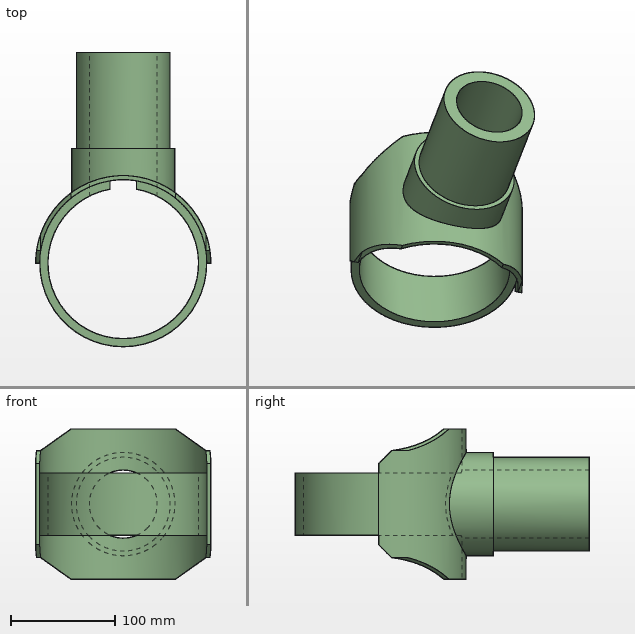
import cadquery as cq

ring_outer_radius = 80.0
ring_wall = 8.0
ring_height = 60.0

saddle_wall = 4.0
saddle_outer_radius = ring_outer_radius + saddle_wall
saddle_height = 144.0
saddle_top_half_width = 50.0
saddle_shoulder_x = 79.2
wing_half_height = 51.25
wing_chamfer = 12.5

pipe_radius = 45.0
pipe_end_y = 202.0
sleeve_radius = 49.5
sleeve_end_y = 110.0
bore_radius = 32.5


def cylinder_z(radius, height):
    """Cylinder on the Z axis, centred on the XY plane."""
    return cq.Workplane("XY").workplane(offset=-height / 2).circle(radius).extrude(height)


def cylinder_y(radius, end_y):
    """Cylinder on the Y axis, from the ring axis out to end_y."""
    return cq.Workplane("XZ").circle(radius).extrude(-end_y)


def make_ring():
    inner_radius = ring_outer_radius - ring_wall
    return cylinder_z(ring_outer_radius, ring_height).cut(cylinder_z(inner_radius, ring_height))


def make_saddle():
    shell = cylinder_z(saddle_outer_radius, saddle_height).cut(
        cylinder_z(ring_outer_radius, saddle_height)
    )

    half_height = saddle_height / 2
    right_side = [
        (saddle_top_half_width, half_height),
        (saddle_shoulder_x, wing_half_height),
        (saddle_outer_radius, wing_half_height),
    ]
    lower_right = [(x, -z) for x, z in reversed(right_side)]
    left_side = [(-x, -z) for x, z in right_side + lower_right]
    front_outline = (
        cq.Workplane("XZ")
        .polyline(right_side + lower_right + left_side)
        .close()
        .extrude(-saddle_outer_radius)
    )

    tip_half_height = wing_half_height - wing_chamfer
    chamfer_run = wing_chamfer + half_height - wing_half_height
    side_outline = (
        cq.Workplane("YZ")
        .moveTo(0, -tip_half_height)
        .lineTo(0, tip_half_height)
        .lineTo(chamfer_run, half_height)
        .lineTo(saddle_outer_radius, half_height)
        .lineTo(saddle_outer_radius, -half_height)
        .lineTo(chamfer_run, -half_height)
        .close()
        .extrude(saddle_outer_radius, both=True)
    )
    return shell.intersect(front_outline).intersect(side_outline)


def make_branch():
    branch = cylinder_y(pipe_radius, pipe_end_y).union(cylinder_y(sleeve_radius, sleeve_end_y))
    root_radius = saddle_outer_radius - saddle_wall / 2
    return branch.cut(cylinder_z(root_radius, saddle_height))


bore = cylinder_y(bore_radius, pipe_end_y)
result = make_ring().union(make_saddle()).union(make_branch()).cut(bore)